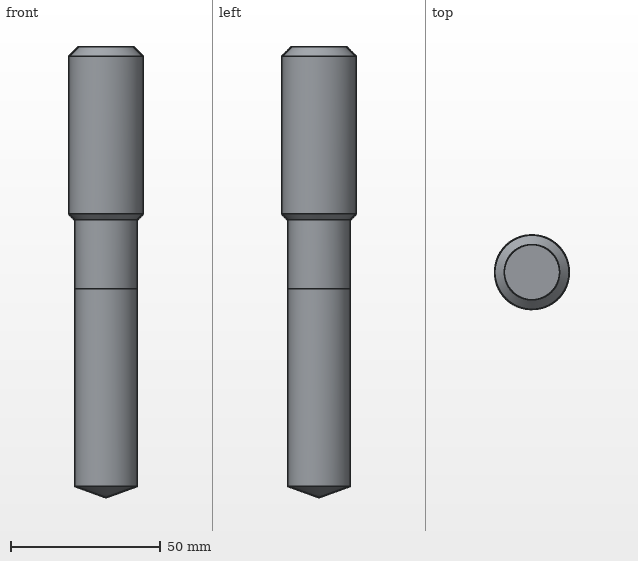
import cadquery as cq
import math

total_length = 151.0

shank_diameter = 25.0
shank_chamfer = 3.25
neck_top = 93.0

cutting_diameter = 21.0
cutting_length = 70.0
point_angle = 140.0

shank_radius = shank_diameter / 2
cutting_radius = cutting_diameter / 2
point_height = cutting_radius / math.tan(math.radians(point_angle / 2))

shoulder_rise = shank_radius - cutting_radius
shoulder_top = neck_top + shoulder_rise


def revolve_about_z(profile_points):
    """Turn a closed (radius, height) profile into a solid of revolution."""
    return (
        cq.Workplane("XZ")
        .polyline(profile_points)
        .close()
        .revolve(360, (0, 0, 0), (0, 1, 0))
    )


def make_shank():
    """Chamfered cylinder with a tapered shoulder leading down to the neck."""
    return revolve_about_z([
        (0, cutting_length),
        (cutting_radius, cutting_length),
        (cutting_radius, neck_top),
        (shank_radius, shoulder_top),
        (shank_radius, total_length - shank_chamfer),
        (shank_radius - shank_chamfer, total_length),
        (0, total_length),
    ])


def make_cutting_part():
    """Cylinder with a conical point whose tip lies at the origin."""
    return revolve_about_z([
        (0, 0),
        (cutting_radius, point_height),
        (cutting_radius, cutting_length),
        (0, cutting_length),
    ])


shank = make_shank()
cutting_part = make_cutting_part()

result = cq.Compound.makeCompound([shank.val(), cutting_part.val()])